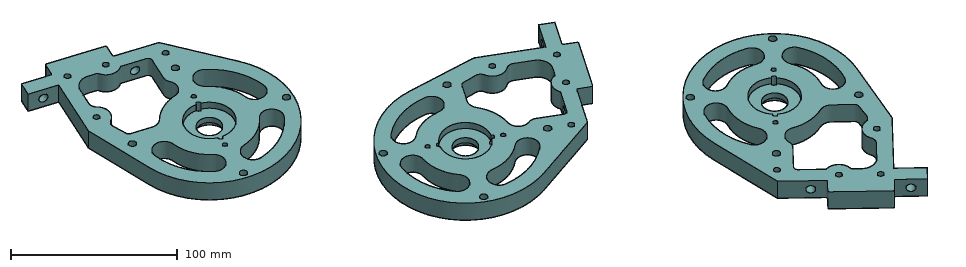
import cadquery as cq
import math

thickness = 14.0
rim_radius = 55.0
bar_width = 10.0

frame_left = -75.0
frame_bottom = -70.0
frame_corner_x = -20.7
tab_length = 20.0
block_top = -30.0
block_corner_radius = 1.0

bore_dia = 16.0
top_recess_dia = 32.0
top_recess_depth = 5.0
bottom_recess_dia = 22.0
bottom_recess_depth = 5.0

slot_inner_radius = 30.0
slot_width = 15.0
slot_mid_radius = slot_inner_radius + slot_width / 2
slot_start = 20
slot_end = 90 - slot_start

window_left = frame_left + bar_width
window_bottom = frame_bottom + bar_width
window_top = -bar_width
window_right = -8.5
window_right_bottom = -49.5
window_slope = 28
upper_boss_fillet = 1.0
bottom_boss_fillet = 5.0
corner_fillet = 2.5
cap_fillet = 6.0
hub_fillet = 7.5
bottom_left_fillet = 9.3

screw_dia = 4.0
screw_boss_radius = 9.0
upper_screw = (frame_left + bar_width / 2, -37.0)
lower_screw = (frame_left + bar_width / 2, -62.0)
bottom_screw = (-30.0, -60.6)
bar_end_screw = (window_left, 0)
rim_hole_dia = 5.0
rim_hole_radius = 50.5
pin_dia = 3.0
pin_offsets = (16.2, 23.2)

cross_hole_dia = 6.0
frame_cross_hole_y = -20.0
tab_cross_hole_y = frame_bottom - tab_length / 2


def polar(radius, degrees):
    angle = math.radians(degrees)
    return (radius * math.cos(angle), radius * math.sin(angle))


def rim_tangent_point(point, side):
    """Point where a line from `point` touches the rim; side +1 is counterclockwise of the point."""
    direction = math.atan2(point[1], point[0])
    swing = math.acos(rim_radius / math.hypot(*point))
    return polar(rim_radius, math.degrees(direction + side * swing))


def prism(points):
    return cq.Workplane("XY").polyline(points).close().extrude(thickness)


def disc(center, radius):
    return cq.Workplane("XY").center(*center).circle(radius).extrude(thickness)


def holes(points, diameter):
    return cq.Workplane("XY").pushPoints(points).circle(diameter / 2).extrude(thickness)


def fillet_corners(body, points, radius):
    """Round the upright edges nearest to the given XY points."""
    for x, y in points:
        corner = cq.selectors.NearestToPointSelector((x, y, thickness / 2))
        body = body.edges("|Z").edges(corner).fillet(radius)
    return body


def make_plate():
    bar_end = (frame_left, 0)
    bottom_corner = (frame_corner_x, frame_bottom)
    plate = (
        cq.Workplane("XY")
        .moveTo(*bar_end)
        .lineTo(frame_left, frame_bottom)
        .lineTo(*bottom_corner)
        .lineTo(*rim_tangent_point(bottom_corner, 1))
        .threePointArc((rim_radius, 0), rim_tangent_point(bar_end, -1))
        .close()
        .extrude(thickness)
    )
    block_left = frame_left - bar_width
    tab_bottom = frame_bottom - tab_length
    block = prism([
        (block_left, block_top),
        (window_left, block_top),
        (window_left, frame_bottom),
        (block_left, frame_bottom),
    ])
    tab = prism([
        (frame_left, block_top),
        (window_left, block_top),
        (window_left, tab_bottom),
        (frame_left, tab_bottom),
    ])
    plate = plate.union(block).union(tab)
    block_corners = [(x, y) for x in (block_left, frame_left) for y in (block_top, frame_bottom)]
    return fillet_corners(plate, block_corners, block_corner_radius)


def make_slot(quadrant_angle):
    start = quadrant_angle + slot_start
    end = quadrant_angle + slot_end
    middle = (start + end) / 2
    inner = slot_inner_radius
    outer = slot_inner_radius + slot_width
    cap = slot_width / 2
    start_cap = polar(slot_mid_radius, start)
    end_cap = polar(slot_mid_radius, end)
    start_tip = polar(cap, start - 90)
    end_tip = polar(cap, end + 90)
    return (
        cq.Workplane("XY")
        .moveTo(*polar(inner, start))
        .threePointArc((start_cap[0] + start_tip[0], start_cap[1] + start_tip[1]), polar(outer, start))
        .threePointArc(polar(outer, middle), polar(outer, end))
        .threePointArc((end_cap[0] + end_tip[0], end_cap[1] + end_tip[1]), polar(inner, end))
        .threePointArc(polar(inner, middle), polar(inner, start))
        .close()
        .extrude(thickness)
    )


def make_window():
    """Window bounded by the frame bars, the hub and two screw bosses, with one slot-like end."""
    slope = math.tan(math.radians(window_slope))
    slope_foot_x = window_right - (window_right_bottom - window_bottom) / slope
    cap_radius = slot_width / 2
    cap_center = polar(slot_mid_radius, 180 + slot_start)
    window = prism([
        (window_left, window_top),
        (cap_center[0], window_top),
        cap_center,
        (0, 0),
        (window_right, window_top),
        (window_right, window_right_bottom),
        (slope_foot_x, window_bottom),
        (window_left, window_bottom),
    ])
    window = window.union(disc(cap_center, cap_radius))
    window = window.cut(disc((0, 0), slot_inner_radius))
    for screw in (upper_screw, bottom_screw):
        window = window.cut(disc(screw, screw_boss_radius))

    cap_corner_x = cap_center[0] - math.sqrt(cap_radius**2 - (window_top - cap_center[1])**2)
    hub_corner_y = -math.sqrt(slot_inner_radius**2 - window_right**2)
    upper_boss_rise = math.sqrt(screw_boss_radius**2 - (window_left - upper_screw[0])**2)
    bottom_boss_left = bottom_screw[0] - screw_boss_radius
    edge_height = window_right_bottom + slope * (bottom_screw[0] - window_right) - bottom_screw[1]
    edge_distance = edge_height * math.cos(math.radians(window_slope))
    edge_angle = window_slope + math.degrees(math.asin(edge_distance / screw_boss_radius))
    boss_reach = polar(screw_boss_radius, edge_angle)
    boss_slope_corner = (bottom_screw[0] + boss_reach[0], bottom_screw[1] + boss_reach[1])

    window = fillet_corners(window, [(cap_corner_x, window_top)], cap_fillet)
    window = fillet_corners(window, [(window_right, hub_corner_y)], hub_fillet)
    window = fillet_corners(
        window,
        [(window_left, upper_screw[1] + side * upper_boss_rise) for side in (1, -1)],
        upper_boss_fillet,
    )
    bottom_boss_corners = [(bottom_boss_left, window_bottom), boss_slope_corner]
    window = fillet_corners(window, bottom_boss_corners, bottom_boss_fillet)
    window = fillet_corners(
        window,
        [(window_left, window_top), (window_right, window_right_bottom)],
        corner_fillet,
    )
    return fillet_corners(window, [(window_left, window_bottom)], bottom_left_fillet)


def make_cross_hole(y):
    """Hole along X through one bar width, from the left edge of the frame."""
    return (
        cq.Workplane("YZ", origin=(frame_left, 0, 0))
        .center(y, thickness / 2)
        .circle(cross_hole_dia / 2)
        .extrude(bar_width)
    )


result = make_plate().cut(make_window())
for quadrant_angle in (0, 90, 270):
    result = result.cut(make_slot(quadrant_angle))

result = result.cut(disc((0, 0), bore_dia / 2))
result = result.cut(disc((0, 0), top_recess_dia / 2).translate((0, 0, thickness - top_recess_depth)))
result = result.cut(disc((0, 0), bottom_recess_dia / 2).translate((0, 0, bottom_recess_depth - thickness)))

result = result.cut(holes([upper_screw, lower_screw, bottom_screw, bar_end_screw], screw_dia))
result = result.cut(holes([polar(rim_hole_radius, angle) for angle in (0, 90, 180, 270)], rim_hole_dia))
result = result.cut(holes([(side * x, 0) for x in pin_offsets for side in (1, -1)], pin_dia))

for cross_hole_y in (frame_cross_hole_y, tab_cross_hole_y):
    result = result.cut(make_cross_hole(cross_hole_y))